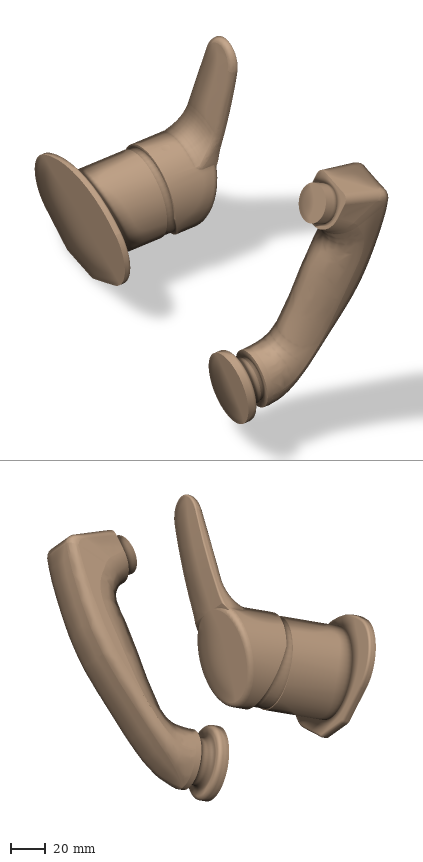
import cadquery as cq
import math

SPOUT_X = 165.0

PLATE_WIDTH = 100.0
PLATE_TOP = 32.5
PLATE_BOTTOM = -34.8
PLATE_THICKNESS = 4.3
PLATE_EDGE_ROUND = 1.5
PLATE_SIDE_RADIUS = 24.5
PLATE_SLOPE = math.radians(30)
PLATE_CORNER_RADIUS = 4.7

SLEEVE_RADIUS = 27.5
SLEEVE_END = 42.2
NECK_RADIUS = 26.8
NECK_END = 56.5
NECK_ROUND = 7.0

HUB_RADIUS = 29.0
HUB_BACK = 47.0
HUB_BACK_AT_BOTTOM = 54.0
HUB_FACE_ROUND = 3.0
FACE_START = (63.5, -29.0)
FACE_END = (82.7, 24.2)
LEVER_TOP = 93.4
LEVER_TIP_OUTER = (100.7, 97.2)
LEVER_TIP_INNER = (97.0, 97.2)
LEVER_THROAT = (81.8, 43.0)
LEVER_ROOT = (61.6, 28.5)
LEVER_MIDDLE = (92.2, 55.2)
LEVER_HEEL_Y = 66.4
LEVER_INNER_ROUND = 3.3
LEVER_OUTER_ROUND = 1.0
LEVER_ROOT_WIDTH = 34.5
LEVER_ROOT_HEIGHT = 31.8
LEVER_TIP_WIDTH = 28.2
LEVER_SHOULDER_HEIGHT = 81.3
FLARE_FOOT_HEIGHT = 20.1
FLARE_FOOT_SINK = 0.5

BUTTON_RADIUS = 2.5
BUTTON_Y = 57.8
BUTTON_DEPTH = 2.4

FLANGE_RADIUS = 22.0
FLANGE_THICKNESS = 6.5
FLANGE_ROUND = 2.4
STEM_RADIUS = 14.0
STEM_FILLET = 2.8
GROOVE_RADIUS = 13.3
GROOVE_START = 13.3

SPOUT_START = 15.6
SPOUT_RADIUS = 17.8
INLET_RING_LENGTH = 3.5
INLET_CORNER = 17.5
OUTER_CORNER = 5.7
STALK_SECTIONS = [
    ((29.6, 20.0), (40.3, 2.4), SPOUT_RADIUS, 14.2),
    ((35.8, 25.8), (53.3, 19.0), SPOUT_RADIUS, 13.0),
    ((47.5, 51.7), (70.0, 41.7), SPOUT_RADIUS, 15.6),
    ((62.0, 84.4), (87.7, 75.1), SPOUT_RADIUS, 16.5),
    ((63.8, 91.2), (94.5, 95.3), SPOUT_RADIUS, 16.5),
    ((62.5, 95.0), (97.6, 106.6), SPOUT_RADIUS, 16.5),
]
CORNER_SECTIONS = [
    ((61.1, 97.9), (99.3, 115.2), 17.5, 17.0),
    ((60.2, 99.0), (97.9, 119.5), 17.5, 17.0),
    ((59.2, 100.0), (93.9, 121.3), 17.3, 17.0),
]
MOUTH_LOW = (56.6, 102.0)
MOUTH_HIGH = (71.0, 128.2)
MOUTH_RADIUS = 15.5
MOUTH_CORNER = 4.7

AERATOR_RADIUS = 11.8
AERATOR_LENGTH = 8.5


def cylinder_y(radius, start, end):
    """Cylinder along +Y from y = start to y = end, centred on the Y axis."""
    return cq.Workplane("XZ", origin=(0, start, 0)).circle(radius).extrude(start - end)


def midpoint(first, second):
    return ((first[0] + second[0]) / 2, (first[1] + second[1]) / 2)


def make_plate():
    half = PLATE_WIDTH / 2
    side_x = half - PLATE_SIDE_RADIUS
    top_radius = (side_x**2 + PLATE_TOP**2 - PLATE_SIDE_RADIUS**2) / (2 * (PLATE_TOP - PLATE_SIDE_RADIUS))
    top_centre = PLATE_TOP - top_radius
    tilt = math.atan2(-top_centre, side_x)
    joint = (side_x + PLATE_SIDE_RADIUS * math.cos(tilt), PLATE_SIDE_RADIUS * math.sin(tilt))
    slope_top = (
        side_x + PLATE_SIDE_RADIUS * math.sin(PLATE_SLOPE),
        -PLATE_SIDE_RADIUS * math.cos(PLATE_SLOPE),
    )
    slope_foot = slope_top[0] - (slope_top[1] - PLATE_BOTTOM) / math.tan(PLATE_SLOPE)
    plate = (
        cq.Workplane("XZ")
        .moveTo(-joint[0], joint[1])
        .threePointArc((0, PLATE_TOP), joint)
        .threePointArc((half, 0), slope_top)
        .lineTo(slope_foot, PLATE_BOTTOM)
        .lineTo(-slope_foot, PLATE_BOTTOM)
        .lineTo(-slope_top[0], slope_top[1])
        .threePointArc((-half, 0), (-joint[0], joint[1]))
        .close()
        .extrude(-PLATE_THICKNESS)
    )
    foot_corners = cq.selectors.BoxSelector(
        (-slope_foot - 2.4, -2.4, PLATE_BOTTOM - 2.4), (slope_foot + 2.4, PLATE_THICKNESS + 2.4, PLATE_BOTTOM + 2.4)
    )
    plate = plate.edges("|Y").edges(foot_corners).fillet(PLATE_CORNER_RADIUS)
    return plate.faces(">Y").edges().fillet(PLATE_EDGE_ROUND)


def make_sleeve():
    neck = cylinder_y(NECK_RADIUS, SLEEVE_END, NECK_END).faces(">Y").edges().fillet(NECK_ROUND)
    return cylinder_y(SLEEVE_RADIUS, PLATE_THICKNESS, SLEEVE_END).union(neck)


def make_hub():
    """Round hub with a sloping front face and a back face that slopes away below the axis."""
    slope = (FACE_END[0] - FACE_START[0]) / (FACE_END[1] - FACE_START[1])
    reach = 2 * HUB_RADIUS
    envelope = (
        cq.Workplane("YZ")
        .moveTo(HUB_BACK, reach)
        .lineTo(HUB_BACK, 0)
        .lineTo(HUB_BACK_AT_BOTTOM, -HUB_RADIUS)
        .lineTo(FACE_START[0], -HUB_RADIUS)
        .lineTo(FACE_START[0] + slope * (HUB_RADIUS + reach), reach)
        .close()
        .extrude(HUB_RADIUS, both=True)
    )
    hub = cylinder_y(HUB_RADIUS, HUB_BACK, HUB_BACK + 2 * reach).intersect(envelope)
    return hub.faces(">Y").edges().fillet(HUB_FACE_ROUND)


def make_lever_side():
    """Lever as seen along X: a thin blade with a bowed back, hollowed by a turned throat around the hub axis."""
    root_y, root_height = LEVER_ROOT
    tip_y, tip_height = LEVER_TIP_INNER
    blade = (
        cq.Workplane("YZ")
        .moveTo(root_y, 0)
        .lineTo(LEVER_HEEL_Y, 0)
        .lineTo(*FACE_END)
        .threePointArc(LEVER_MIDDLE, LEVER_TIP_OUTER)
        .lineTo(root_y, tip_height)
        .close()
        .extrude(HUB_RADIUS, both=True)
    )
    throat = (
        cq.Workplane("YZ")
        .moveTo(tip_y, tip_height)
        .lineTo(*LEVER_THROAT)
        .tangentArcPoint(LEVER_ROOT, relative=False)
        .lineTo(root_y - 2.4, root_height)
        .lineTo(root_y - 2.4, tip_height + 2.4)
        .lineTo(tip_y, tip_height + 2.4)
        .close()
        .revolve(360, (0, 0, 0), (1, 0, 0))
    )
    return blade.cut(throat)


def make_lever_front():
    """Lever as seen along Y: round tip, widening sides and feet that flare onto the hub."""
    tip = LEVER_TIP_WIDTH / 2
    root = LEVER_ROOT_WIDTH / 2
    foot = math.sqrt((HUB_RADIUS - FLARE_FOOT_SINK) ** 2 - FLARE_FOOT_HEIGHT**2)
    right_half = (
        cq.Workplane("XZ")
        .moveTo(0, LEVER_TOP)
        .radiusArc((tip, LEVER_SHOULDER_HEIGHT), tip)
        .lineTo(root, LEVER_ROOT_HEIGHT)
        .tangentArcPoint((foot, FLARE_FOOT_HEIGHT), relative=False)
        .lineTo(0, 0)
        .close()
        .extrude(-LEVER_TIP_OUTER[0] - 2.4)
    )
    return right_half.union(right_half.mirror("YZ"))


def round_rim(lever, chosen_faces, radius):
    """Round the side and tip edges of the chosen faces, leaving edges that cross the middle plane."""
    edges = lever.faces(chosen_faces).edges().vals()
    rim = [edge for edge in edges if abs(edge.Center().x) > 2.4]
    return lever.newObject(rim).fillet(radius)


def make_lever():
    lever = make_lever_side().intersect(make_lever_front())
    straight = cq.selectors.NearestToPointSelector((0, *midpoint(LEVER_TIP_INNER, LEVER_THROAT)))
    swelling = cq.selectors.NearestToPointSelector((0, *midpoint(LEVER_THROAT, LEVER_ROOT)))
    back = cq.selectors.NearestToPointSelector((0, *LEVER_MIDDLE))
    lever = round_rim(lever, straight + swelling, LEVER_INNER_ROUND)
    return round_rim(lever, back, LEVER_OUTER_ROUND)


def make_handle(sleeve):
    handle = make_hub().union(make_lever())
    return handle.cut(sleeve)


def spout_section(inner, outer, half_width, inner_depth, corner):
    """Closed outline across the spout: round towards `inner`, square with rounded corners at `outer`."""
    depth = math.hypot(outer[0] - inner[0], outer[1] - inner[1])
    across = cq.Vector(0, (outer[0] - inner[0]) / depth, (outer[1] - inner[1]) / depth)
    x_dir = cq.Vector(1, 0, 0)
    plane = cq.Plane(origin=(SPOUT_X, *inner), xDir=x_dir, normal=x_dir.cross(across))
    bulge = corner * (1 - math.sqrt(0.5))
    w = half_width
    outline = (
        cq.Workplane(plane)
        .moveTo(-w, inner_depth)
        .threePointArc((0, 0), (w, inner_depth))
        .lineTo(w, depth - corner)
        .threePointArc((w - bulge, depth - bulge), (w - corner, depth))
        .lineTo(corner - w, depth)
        .threePointArc((bulge - w, depth - bulge), (-w, depth - corner))
        .close()
    )
    return outline.wire().val()


def make_spout():
    """Spout: a short inlet ring, a curved stalk, the turn at the head and the tapered head."""
    ring = cylinder_y(SPOUT_RADIUS, SPOUT_START, SPOUT_START + INLET_RING_LENGTH).translate((SPOUT_X, 0, 0))
    ring_end = SPOUT_START + INLET_RING_LENGTH
    inlet = spout_section(
        (ring_end, SPOUT_RADIUS), (ring_end, -SPOUT_RADIUS), SPOUT_RADIUS, SPOUT_RADIUS, INLET_CORNER
    )
    stalk = [spout_section(*section, OUTER_CORNER) for section in STALK_SECTIONS]
    turn = [spout_section(*section, OUTER_CORNER) for section in CORNER_SECTIONS]
    mouth = spout_section(MOUTH_LOW, MOUTH_HIGH, MOUTH_RADIUS, MOUTH_RADIUS, MOUTH_CORNER)
    spout = ring
    for sections in ([inlet, *stalk, turn[0]], turn, [turn[-1], mouth]):
        spout = spout.union(cq.Workplane(cq.Solid.makeLoft(sections)))
    return spout


def make_aerator():
    """Short cylinder standing on the middle of the spout mouth, square to it."""
    rise = (MOUTH_HIGH[0] - MOUTH_LOW[0], MOUTH_HIGH[1] - MOUTH_LOW[1])
    centre = midpoint(MOUTH_LOW, MOUTH_HIGH)
    plane = cq.Plane(origin=(SPOUT_X, *centre), xDir=(1, 0, 0), normal=(0, -rise[1], rise[0]))
    return cq.Workplane(plane).circle(AERATOR_RADIUS).extrude(AERATOR_LENGTH)


def make_spout_base():
    """Turned base: rounded flange, filleted stem and a thin groove below the spout."""
    rim = FLANGE_THICKNESS - FLANGE_ROUND
    stem_top = FLANGE_THICKNESS + STEM_FILLET
    profile = (
        cq.Workplane("XY")
        .lineTo(FLANGE_RADIUS, 0)
        .lineTo(FLANGE_RADIUS, rim)
        .radiusArc((FLANGE_RADIUS - FLANGE_ROUND, FLANGE_THICKNESS), -FLANGE_ROUND)
        .lineTo(STEM_RADIUS + STEM_FILLET, FLANGE_THICKNESS)
        .radiusArc((STEM_RADIUS, stem_top), STEM_FILLET)
        .lineTo(STEM_RADIUS, GROOVE_START)
        .lineTo(GROOVE_RADIUS, GROOVE_START)
        .lineTo(GROOVE_RADIUS, SPOUT_START)
        .lineTo(0, SPOUT_START)
        .close()
    )
    return profile.revolve(360, (0, 0, 0), (0, 1, 0)).translate((SPOUT_X, 0, 0))


def make_button_space():
    """Round pocket in the top of the hub that the marker button fills."""
    floor = HUB_RADIUS - BUTTON_DEPTH
    return cq.Workplane("XY", origin=(0, BUTTON_Y, floor)).circle(BUTTON_RADIUS).extrude(2 * BUTTON_DEPTH)


plate = make_plate()
sleeve = make_sleeve()
solid_handle = make_handle(sleeve)
button_space = make_button_space()
button = solid_handle.intersect(button_space)
handle = solid_handle.cut(button_space)
spout_base = make_spout_base()
spout = make_spout()
aerator = make_aerator()

result = cq.Compound.makeCompound(
    [
        *plate.solids().vals(),
        *sleeve.solids().vals(),
        *handle.solids().vals(),
        *button.solids().vals(),
        *spout_base.solids().vals(),
        *spout.solids().vals(),
        *aerator.solids().vals(),
    ]
)